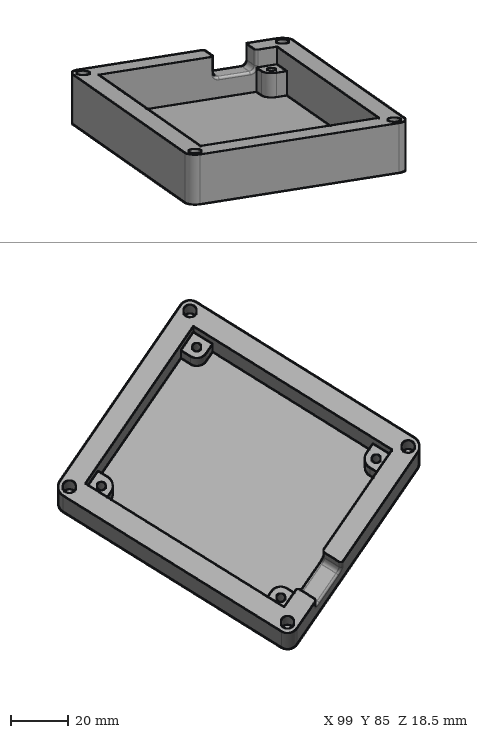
import cadquery as cq

length = 99.0
width = 85.0
height = 18.5
corner_radius = 4.0
wall = 8.0
floor = 3.0

rim_hole_diameter = 4.7
rim_hole_depth = 10.0

post_size = 8.0
post_radius = 4.0
post_top = 12.0
post_hole_diameter = 3.2
post_hole_inset = post_size / 2

notch_width = 16.0
notch_depth = 7.9
notch_center_y = 18.1
notch_corner_radius = 2.0
notch_edge_radius = 1.0

pocket_length = length - 2 * wall
pocket_width = width - 2 * wall
corner_signs = [(sx, sy) for sx in (-1, 1) for sy in (-1, 1)]


def corner_points(span_x, span_y, inset):
    """Four points set in from the corners of a centered rectangle."""
    return [(sx * (span_x / 2 - inset), sy * (span_y / 2 - inset)) for sx, sy in corner_signs]


def make_tray():
    outer = (
        cq.Workplane("XY")
        .rect(length, width)
        .extrude(height)
        .edges("|Z")
        .fillet(corner_radius)
    )
    pocket = (
        cq.Workplane("XY")
        .workplane(offset=floor)
        .rect(pocket_length, pocket_width)
        .extrude(height - floor)
    )
    return outer.cut(pocket)


def cut_notch(tray):
    notch_bottom = height - notch_depth
    notch = (
        cq.Workplane("XY")
        .box(wall, notch_width, notch_depth, centered=(False, True, False))
        .edges("|X and <Z")
        .fillet(notch_corner_radius)
        .translate((-length / 2, notch_center_y, notch_bottom))
    )
    margin = 0.1
    mouth_edges = cq.selectors.BoxSelector(
        (-length / 2 - margin, notch_center_y - notch_width / 2 - margin, notch_bottom - margin),
        (-length / 2 + wall + margin, notch_center_y + notch_width / 2 + margin, height - margin),
    )
    edges_inside_wall = cq.selectors.BoxSelector(
        (-length / 2 + margin, -width, 0),
        (-length / 2 + wall - margin, width, 2 * height),
    )
    return tray.cut(notch).edges(mouth_edges - edges_inside_wall).fillet(notch_edge_radius)


def add_posts(tray):
    for sx, sy in corner_signs:
        post = (
            cq.Workplane("XY")
            .box(post_size, post_size, post_top, centered=(True, True, False))
            .translate((
                sx * (pocket_length - post_size) / 2,
                sy * (pocket_width - post_size) / 2,
                0,
            ))
            .edges("|Z")
            .edges(cq.selectors.DirectionMinMaxSelector(cq.Vector(sx, sy, 0), False))
            .fillet(post_radius)
        )
        tray = tray.union(post)
    return tray


def drill_holes(tray):
    post_holes = (
        cq.Workplane("XY")
        .pushPoints(corner_points(pocket_length, pocket_width, post_hole_inset))
        .circle(post_hole_diameter / 2)
        .extrude(height)
    )
    rim_holes = (
        cq.Workplane("XY")
        .workplane(offset=height)
        .pushPoints(corner_points(length, width, corner_radius))
        .circle(rim_hole_diameter / 2)
        .extrude(-rim_hole_depth)
    )
    return tray.cut(post_holes).cut(rim_holes)


result = drill_holes(add_posts(cut_notch(make_tray())))